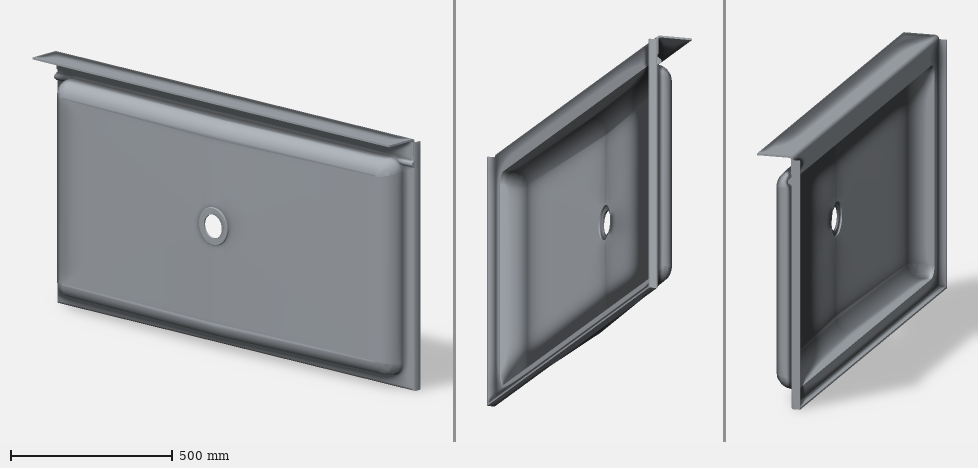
import cadquery as cq
import math


length = 1524.0
height = 812.0
depth = 140.0
sheet = 6.0

rim_front = -25.0
rim_back = rim_front - sheet
edge_round = 9.0
side_flange_drop = 14.0
side_flange_height = height - side_flange_drop

apron_end_setback = 2.3
apron_length = length - 2 * apron_end_setback
bend_radius = 12.0

basin_length = 1435.0
basin_bottom = 43.0
basin_top = 740.0
basin_corner_radius = 41.0
floor_round = 53.0
root_round = 6.0
floor_at_ends = -104.0
floor_at_middle = -126.0

rib_height = 730.0
rib_radius = 9.0
rib_root_round = 3.0

drain_height = 408.0
drain_hole_radius = 38.0
drain_seat_radius = 61.0
drain_seat = -131.0
drain_seat_round = 3.0

margin = 0.2


def block(size_x, y_front, y_back, z_low, z_high):
    """Block centred on X between two Y planes and two Z planes."""
    size = (size_x, y_front - y_back, z_high - z_low)
    corner = (-size_x / 2, y_back, z_low)
    return cq.Workplane("XY").box(*size, centered=False).translate(corner)


def drain_cylinder(radius, y_front, y_back):
    """Cylinder along Y on the drain axis."""
    plane = cq.Workplane("XZ", origin=(0, y_front, drain_height))
    return plane.circle(radius).extrude(y_front - y_back)


def rib():
    """Half-round rib along X, flaring into the rim at its root."""
    reach = rib_radius + rib_root_round
    root_half_width = math.sqrt(reach**2 - rib_root_round**2)
    touch_half_width = root_half_width * rib_radius / reach
    touch = rim_back - rib_root_round * rib_radius / reach
    return (
        cq.Workplane("YZ", origin=(-length / 2, 0, rib_height))
        .moveTo(rim_front, -root_half_width)
        .lineTo(rim_back, -root_half_width)
        .radiusArc((touch, -touch_half_width), -rib_root_round)
        .threePointArc((rim_back - rib_radius, 0), (touch, touch_half_width))
        .radiusArc((rim_back, root_half_width), -rib_root_round)
        .lineTo(rim_front, root_half_width)
        .close()
        .extrude(length)
    )


def basin_body(inset):
    """Solid basin, inset from the outer skin, with a floor falling from both ends to X = 0."""
    half_length = basin_length / 2 - inset
    floor_end = floor_at_ends + inset
    floor_middle = floor_at_middle + inset
    body = (
        cq.Workplane("XY", origin=(0, 0, basin_bottom + inset))
        .moveTo(-half_length, rim_front)
        .lineTo(half_length, rim_front)
        .lineTo(half_length, floor_end)
        .lineTo(0, floor_middle)
        .lineTo(-half_length, floor_end)
        .close()
        .extrude(basin_top - basin_bottom - 2 * inset)
        .edges("|Y")
        .fillet(basin_corner_radius - inset)
    )
    floor_zone = cq.selectors.BoxSelector((-length, -depth, 0), (length, floor_end + inset, height))
    crease = cq.selectors.BoxSelector((-margin, -depth, 0), (margin, 0, height))
    return body.edges(floor_zone - crease).fillet(floor_round - inset)


def rounded_pan(inset, z_top):
    """Block from the flange tips to the rim, inset from the outer skin, rounded where they meet."""
    pan = block(length - 2 * inset, 0, rim_back + inset, inset, z_top)
    return pan.faces("<Y").edges("<X or >X or <Z").fillet(edge_round - inset)


def apron():
    """Top of the rim, bent over toward -Y."""
    inner_bend = bend_radius - sheet
    rim_top = basin_top + 2 * root_round
    bend_start = height - bend_radius
    return (
        cq.Workplane("YZ", origin=(-apron_length / 2, 0, 0))
        .moveTo(rim_front, rim_top)
        .lineTo(rim_front, bend_start)
        .radiusArc((rim_front - bend_radius, height), -bend_radius)
        .lineTo(-depth, height)
        .lineTo(-depth, height - sheet)
        .lineTo(rim_back - inner_bend, height - sheet)
        .radiusArc((rim_back, bend_start), inner_bend)
        .lineTo(rim_back, rim_top)
        .close()
        .extrude(apron_length)
    )


def basin_with_root(rim):
    """Rim joined to the outside of the basin, with the root of the basin wall rounded."""
    root = cq.selectors.BoxSelector(
        (-basin_length / 2 - margin, rim_back - margin, basin_bottom - margin),
        (basin_length / 2 + margin, rim_back + margin, basin_top + margin),
    )
    return rim.union(basin_body(0)).edges(root).fillet(root_round)


def drain_boss():
    """Round boss under the drain seat, its outer edge rounded."""
    boss = drain_cylinder(drain_seat_radius, rim_front, drain_seat)
    return boss.faces("<Y").edges().fillet(drain_seat_round)


pan_outside = rounded_pan(0, side_flange_height)
tray = basin_with_root(pan_outside)
tray = tray.union(rib())
tray = tray.union(drain_boss())

tray = tray.cut(rounded_pan(sheet, height))
tray = tray.cut(basin_body(sheet))
tray = tray.cut(drain_cylinder(drain_seat_radius - sheet, rim_front, drain_seat + sheet))
tray = tray.cut(drain_cylinder(drain_hole_radius, 0, -depth))

result = tray.union(apron())